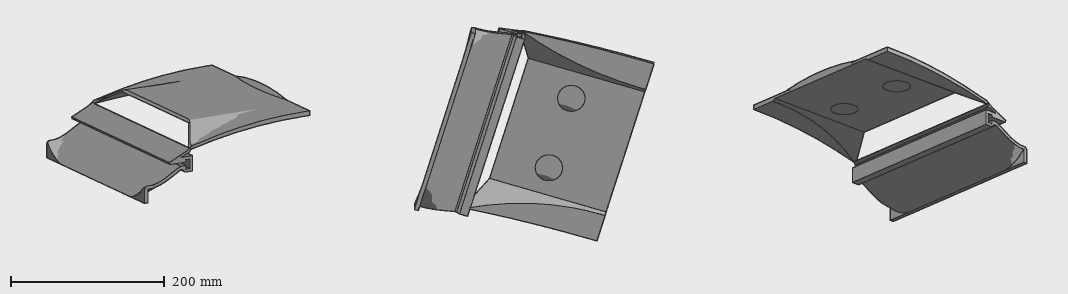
import cadquery as cq
import math


width = 255.0
depth = 249.0
half_width = width / 2
overhang = 25.5
blank_half_width = half_width + overhang

rear_top = 90.5
rear_thickness = 6.5
flat_strip = 7.5
roof_radius = 637.5
underside_radius = 714.0

panel_top = 90.0
panel_half_width = 85.2
panel_front = 155.8
panel_corner_radius = 28.5
panel_thickness = 3.3
hollow_half_width = 86.5
ceiling = panel_top - panel_thickness
wall_angle = math.radians(30.0)

blend_radius = 35.7
blend_stations = 14
station_bias = 1.4
blend_lead = 0.5
blend_sink = 0.03

fin_top = 97.2
fin_height = fin_top - rear_top
fin_half_width = 67.5

bump_spacing = 100.0
bump_radius = 17.8
bump_height = 3.5
bump_run = 89.2

sill_run = 180.8
sill_top = 65.5
sill_break = (188.0, 60.7)
lip_tip = (211.5, 50.0)
lip_bottom = 47.2
rail_back = 176.2
rail_top = 54.5
rail_bottom = 33.7
rail_wall = 4.0
slot_top = 50.2
slot_bottom = rail_bottom + 3.8
slot_run = rail_back + rail_wall
mouth_run = 186.5

apron_start = 193.8
apron_rear_top = 42.5
apron_rear_bottom = 37.7
apron_top_middle = (211.6, 33.2)
apron_bottom_middle = (220.3, 21.0)
apron_foot = 5.5
apron_overlap = 1.3

corner_height = 23.0
corner_width = 24.7
corner_slope = corner_height / corner_width
corner_blend = 20.5
corner_wall = 4.3
nose_radius = 10.0 / 2


def side_points(points):
    """Turn (run, height) pairs into YZ coordinates."""
    return [(-run, height) for run, height in points]


def side_prism(outline, reach=half_width):
    """Extrude a YZ outline to both sides of X = 0."""
    return outline.close().extrude(reach, both=True)


def arc_height(run, radius, start_height):
    """Height of a roof surface that falls on an arc in front of the level strip."""
    return start_height - radius + math.sqrt(radius**2 - (run - flat_strip) ** 2)


def roof_run(drop):
    """Run at which the upper roof surface has fallen by the given drop."""
    return flat_strip + math.sqrt(roof_radius**2 - (roof_radius - drop) ** 2)


def below_roof_arc(radius, start_height):
    """Block under the level rear strip and the arc that follows it."""
    middle = (flat_strip + depth) / 2
    start, halfway, end = side_points([
        (flat_strip, start_height),
        (middle, arc_height(middle, radius, start_height)),
        (depth, arc_height(depth, radius, start_height)),
    ])
    outline = (
        cq.Workplane("YZ").lineTo(0, start_height).lineTo(*start)
        .threePointArc(halfway, end).lineTo(-depth, 0)
    )
    return side_prism(outline, blank_half_width)


def panel_prism(half_top, top):
    """Trapezoid running front to rear: level top, sides falling at the wall angle."""
    foot = half_top + top / math.tan(wall_angle)
    outline = [(-foot, 0), (-half_top, top), (half_top, top), (foot, 0)]
    return cq.Workplane("XZ").polyline(outline).close().extrude(depth)


def make_panel():
    panel = panel_prism(panel_half_width, panel_top)
    return panel.faces(">Z").edges("|Y").fillet(panel_corner_radius)


def blend_section(run):
    """Section of the right-hand blend, touching the roof plate and the side of the panel."""
    height = arc_height(run, roof_radius, rear_top)
    round_x = panel_half_width - panel_corner_radius * math.tan(wall_angle / 2)
    round_z = panel_top - panel_corner_radius
    centre_z = height + blend_radius
    reach = panel_corner_radius + blend_radius
    tilt = math.acos(min(1.0, (centre_z - round_z) / reach))
    if tilt < wall_angle:
        centre_x = round_x + reach * math.sin(tilt)
    else:
        tilt = wall_angle
        wall_foot = panel_half_width + (panel_top - height) / math.tan(wall_angle)
        centre_x = wall_foot + blend_radius * math.tan(wall_angle / 2)
    centre_x -= blend_sink * math.tan(tilt / 2)
    centre_z -= blend_sink

    def on_arc(angle):
        x = centre_x - blend_radius * math.sin(angle)
        z = centre_z - blend_radius * math.cos(angle)
        return cq.Vector(x, -run, z)

    outer, middle, inner = on_arc(0), on_arc(tilt / 2), on_arc(tilt)
    down = cq.Vector(0, 0, -rear_thickness)
    return cq.Wire.assembleEdges([
        cq.Edge.makeThreePointArc(outer, middle, inner),
        cq.Edge.makeLine(inner, inner + down),
        cq.Edge.makeLine(inner + down, outer + down),
        cq.Edge.makeLine(outer + down, outer),
    ])


def blend_loft(first, last):
    """Right-hand blend between two runs."""
    shares = [(i / blend_stations) ** station_bias for i in range(blend_stations + 1)]
    sections = [blend_section(first + (last - first) * share) for share in shares]
    return cq.Workplane(cq.Solid.makeLoft(sections))


def make_blends():
    """Blends on both sides of the panel, split where they pass from its rounding to its flat wall."""
    emerge_drop = rear_top - panel_top
    wall_drop = emerge_drop + (panel_corner_radius + blend_radius) * (1 - math.cos(wall_angle))
    wall_run = roof_run(wall_drop)
    rear_part = blend_loft(roof_run(emerge_drop) + blend_lead, wall_run)
    front_part = blend_loft(wall_run, depth - 2 * overhang)
    right = rear_part.union(front_part)
    return right.union(right.mirror("YZ"))


def make_fin():
    """Arched fin on the rear edge whose front slopes down at 45 degrees."""
    left = cq.Vector(-fin_half_width, 0, rear_top)
    right = cq.Vector(fin_half_width, 0, rear_top)
    crown = cq.Vector(0, 0, fin_top)
    outline = cq.Wire.assembleEdges([
        cq.Edge.makeThreePointArc(left, crown, right),
        cq.Edge.makeLine(right, left),
    ])
    sweep = cq.Vector(0, -fin_height, -fin_height)
    return cq.Workplane(cq.Solid.extrudeLinear(outline, [], sweep))


def make_roof():
    """Roof plate, panel and fin, trimmed outside and hollowed from below."""
    body = below_roof_arc(roof_radius, rear_top).union(make_panel()).union(make_blends()).union(make_fin())
    front_foot = panel_front + panel_top
    envelope = [(0, 0), (0, fin_top), (front_foot - fin_top, fin_top), (front_foot, 0)]
    body = body.intersect(side_prism(cq.Workplane("YZ").polyline(side_points(envelope))))
    body = body.cut(below_roof_arc(underside_radius, rear_top - rear_thickness))
    return body.cut(panel_prism(hollow_half_width, ceiling))


def make_bumps():
    """Shallow domes hanging from the underside of the panel."""
    sphere_radius = (bump_radius**2 + bump_height**2) / (2 * bump_height)
    centre_z = ceiling - bump_height + sphere_radius
    places = [(-bump_spacing / 2, -bump_run), (bump_spacing / 2, -bump_run)]
    balls = cq.Workplane("XY").workplane(offset=centre_z).pushPoints(places).sphere(sphere_radius)
    slab_top = ceiling + panel_thickness / 2
    slab = cq.Workplane("XY").workplane(offset=slab_top).rect(width, 2 * depth).extrude(-overhang)
    return balls.intersect(slab)


def make_rail():
    """Sill under the opening, sloping lip and the C-shaped clip rail below them."""
    outline = [
        (sill_run, sill_top), (183.3, 63.5), sill_break, lip_tip,
        (210.5, lip_bottom), (mouth_run, lip_bottom), (mouth_run, slot_top), (slot_run, slot_top),
        (slot_run, slot_bottom), (mouth_run, slot_bottom), (mouth_run, apron_rear_top),
        (apron_start, apron_rear_top), (apron_start + apron_overlap, apron_rear_top - apron_overlap),
        (apron_start + apron_overlap, apron_rear_bottom - apron_overlap / 2),
        (apron_start, apron_rear_bottom), (191.2, apron_rear_bottom),
        (187.5, rail_bottom), (rail_back, rail_bottom), (rail_back, rail_top), (193.3, rail_top),
        (sill_run, 60.2), (178.8, 63.5),
    ]
    return side_prism(cq.Workplane("YZ").polyline(side_points(outline)))


def apron_block(rear_height, arc_middle, front, corner_drop, blend):
    """Block under a curved apron surface, with raised corners blended into it."""
    start, middle, foot = side_points([(apron_start, rear_height), arc_middle, (front, 0)])
    outline = cq.Workplane("YZ").moveTo(*start).threePointArc(middle, foot).lineTo(-apron_start, 0)
    block = side_prism(outline, blank_half_width)
    tip = half_width - (corner_height - corner_drop) / corner_slope
    peak = (blank_half_width - tip) * corner_slope
    for side in (-1, 1):
        triangle = [(side * tip, 0), (side * blank_half_width, 0), (side * blank_half_width, peak)]
        wedge = cq.Workplane("XZ", origin=(0, -apron_start, 0)).polyline(triangle).close()
        block = block.union(wedge.extrude(front - apron_start))
    return block.edges("%ELLIPSE").fillet(blend)


def make_apron():
    """Curved apron with raised corners, hollow underneath and rounded at the corner noses."""
    outer = apron_block(apron_rear_top, apron_top_middle, depth, 0, corner_blend)
    inner = apron_block(apron_rear_bottom, apron_bottom_middle, depth - apron_foot,
                        corner_wall, corner_blend + corner_wall)
    envelope = (
        cq.Workplane("YZ").lineTo(-depth, 0).lineTo(-depth, corner_height - nose_radius)
        .radiusArc((-depth + nose_radius, corner_height), nose_radius)
        .lineTo(-apron_start, rear_top).lineTo(0, rear_top)
    )
    return outer.cut(inner).intersect(side_prism(envelope))


result = make_roof().union(make_bumps()).union(make_rail()).union(make_apron())